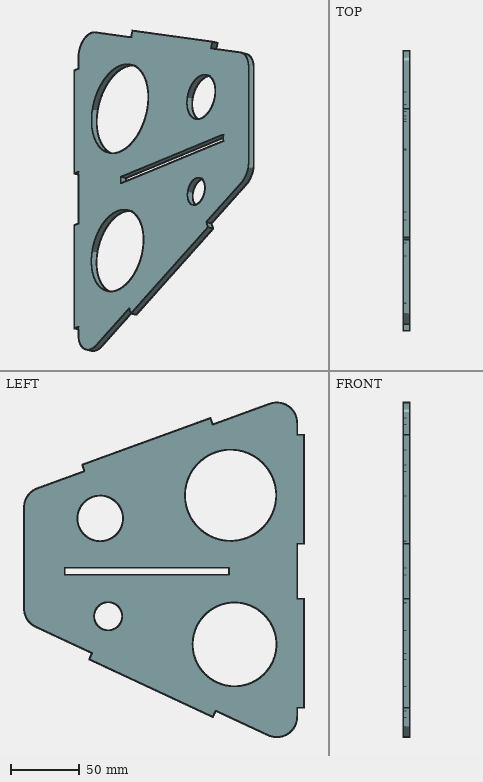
import cadquery as cq
import math

thickness = 5.0
plate_depth = 200.05
base_half_width = 130.0
upper_angle = 20.0
lower_angle = 25.0
corner_radius = 15.0

tab_height = 5.0
base_tab_length = 80.0
base_tab_gap = 40.0
side_tab_length = 100.0
side_tab_start = 65.8
tab_root = 2.0

slot_length = 120.0
slot_width = 5.0
slot_start = 50.0

holes = [
    (48.8, 55.6, 66.6),
    (144.2, 38.7, 33.2),
    (45.9, -53.5, 61.2),
    (138.4, -32.9, 20.4),
]


def box(y_start, y_length, z_start, z_length):
    """Full-thickness block spanning the given Y and Z ranges."""
    block = cq.Workplane("XY").box(thickness, y_length, z_length, centered=False)
    return block.translate((0, y_start, z_start))


def make_plate():
    """Trapezoid with unequal side slopes and four rounded corners."""
    upper_tip = base_half_width - plate_depth * math.tan(math.radians(upper_angle))
    lower_tip = base_half_width - plate_depth * math.tan(math.radians(lower_angle))
    outline = [
        (0, -base_half_width),
        (plate_depth, -lower_tip),
        (plate_depth, upper_tip),
        (0, base_half_width),
    ]
    plate = cq.Workplane("YZ").polyline(outline).close().extrude(thickness)
    return plate.edges("|X").fillet(corner_radius)


def base_tab(z_start):
    """Tab on the base edge, pointing toward -Y."""
    return box(-tab_height, tab_height + tab_root, z_start, base_tab_length)


def side_tab(side, angle):
    """Tab on a sloping edge; side is +1 for the upper edge, -1 for the lower."""
    tab_bottom = -tab_root if side > 0 else -tab_height
    tab = box(side_tab_start, side_tab_length, tab_bottom, tab_height + tab_root)
    tab = tab.rotate((0, 0, 0), (1, 0, 0), -side * angle)
    return tab.translate((0, 0, side * base_half_width))


def make_holes():
    """Cutters for the round through holes."""
    cutters = cq.Workplane("YZ")
    for y, z, diameter in holes:
        cutters = cutters.moveTo(y, z).circle(diameter / 2)
    return cutters.extrude(thickness)


result = make_plate()
for tab_z in (base_tab_gap / 2, -base_tab_gap / 2 - base_tab_length):
    result = result.union(base_tab(tab_z))
result = result.union(side_tab(1, upper_angle))
result = result.union(side_tab(-1, lower_angle))
result = result.cut(box(slot_start, slot_length, -slot_width / 2, slot_width))
result = result.cut(make_holes())